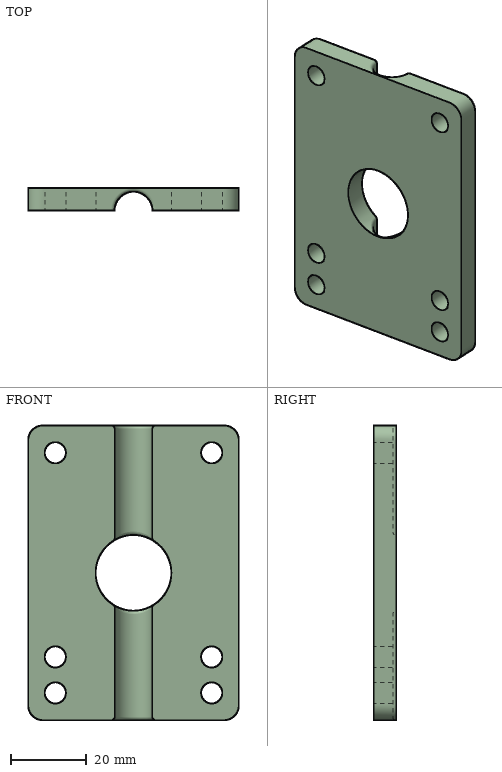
import cadquery as cq

width = 55.8
thickness = 6.0
height = 78.0
corner_radius = 4.0

groove_radius = 5.0
bore_diameter = 20.0
groove_rounding = 0.9

hole_diameter = 5.5
hole_x = 20.7
outer_hole_z = 31.75
inner_hole_z = 22.2

front_y = -thickness / 2
selection_margin = 0.1


def make_plate():
    """Upright plate with rounded corners, centred on the origin."""
    return cq.Workplane("XY").box(width, thickness, height).edges("|Y").fillet(corner_radius)


def holes_through_y(points, diameter):
    """Cylinders running through the plate thickness at the given (x, z) points."""
    return cq.Workplane("XZ").pushPoints(points).circle(diameter / 2).extrude(thickness, both=True)


def make_groove():
    """Full-height cylinder whose rear half cuts the groove."""
    return (
        cq.Workplane("XY")
        .center(0, front_y)
        .circle(groove_radius)
        .extrude(height, both=True)
    )


def round_groove_mouths(body):
    """Round the curved groove edges at the plate ends and around the bore."""
    half_width = groove_radius + selection_margin
    near_groove = cq.selectors.BoxSelector(
        (-half_width, front_y - selection_margin, -height),
        (half_width, front_y + half_width, height),
    )
    curved_edges = body.edges(near_groove).edges("not(|X or |Y or |Z)").edges("not(<Y)")
    return curved_edges.fillet(groove_rounding)


hole_points = [
    (side * hole_x, z)
    for side in (-1, 1)
    for z in (outer_hole_z, -inner_hole_z, -outer_hole_z)
]

plate = make_plate()
plate = plate.cut(make_groove())
plate = plate.cut(holes_through_y([(0, 0)], bore_diameter))
plate = round_groove_mouths(plate)
result = plate.cut(holes_through_y(hole_points, hole_diameter))